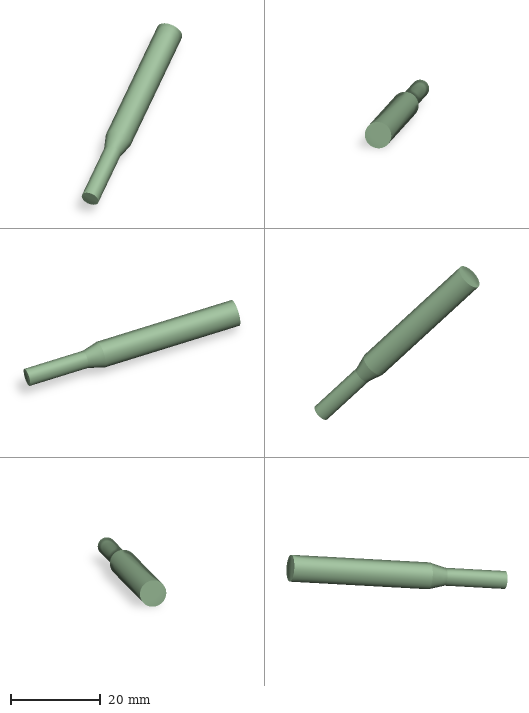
import cadquery as cq
import math

total_length = 50.0
shank_diameter = 6.0
neck_diameter = 4.0
neck_length = 14.0
taper_half_angle = 15.0

shank_radius = shank_diameter / 2
neck_radius = neck_diameter / 2
taper_length = (shank_radius - neck_radius) / math.tan(math.radians(taper_half_angle))

front_y = -total_length / 2
taper_start_y = front_y + neck_length
shank_start_y = taper_start_y + taper_length
back_y = front_y + total_length


def make_round_section(start_y, end_y, start_radius, end_radius):
    """Solid of revolution about Y, straight or tapered between two radii."""
    half_profile = [
        (0, start_y),
        (start_radius, start_y),
        (end_radius, end_y),
        (0, end_y),
    ]
    return cq.Workplane("XY").polyline(half_profile).close().revolve(360, (0, 0, 0), (0, 1, 0))


neck = make_round_section(front_y, taper_start_y, neck_radius, neck_radius)

taper = make_round_section(taper_start_y, shank_start_y, neck_radius, shank_radius)

shank = make_round_section(shank_start_y, back_y, shank_radius, shank_radius)

result = cq.Compound.makeCompound([neck.val(), taper.val(), shank.val()])